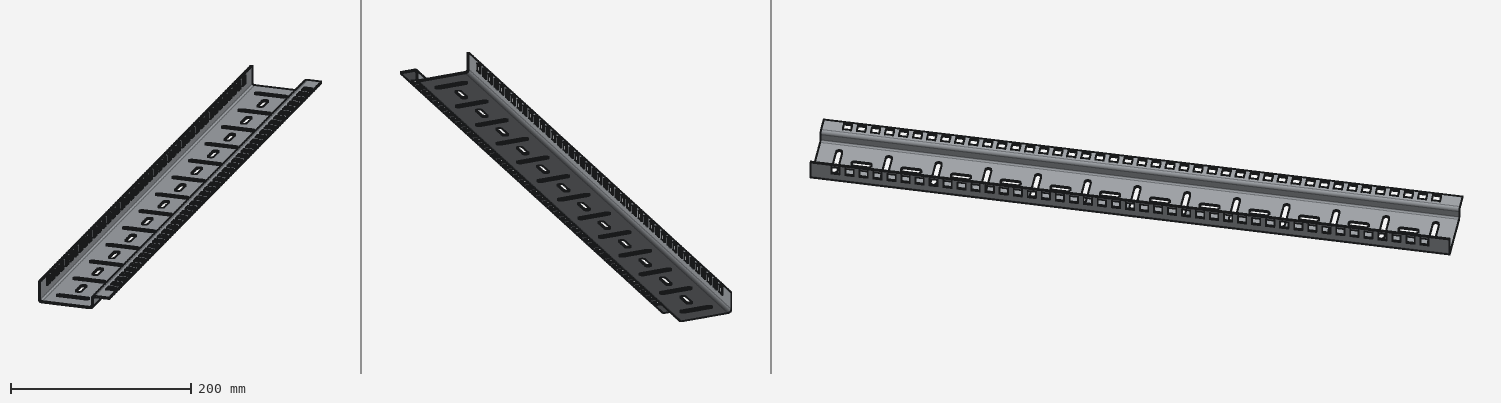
import cadquery as cq

length = 720.0
total_width = 83.0
total_height = 24.5
thickness = 2.0

channel_width = 64.0
flange_height = 16.0
inner_bend = thickness
outer_bend = inner_bend + thickness

square_size = 9.0
square_count = 43
square_end_margin = 28.0
square_pitch = (length - 2 * square_end_margin) / (square_count - 1)
wall_hole_drop = 8.0
flange_hole_inset = 7.0

slot_width = 7.0
cross_slot_length = 38.0
cross_slot_count = 13
cross_slot_end_margin = 24.0
slot_pitch = (length - 2 * cross_slot_end_margin) / (cross_slot_count - 1)
long_slot_length = 23.0
slot_center_x = channel_width / 2

square_positions = [(i - (square_count - 1) / 2) * square_pitch for i in range(square_count)]


def make_profile():
    """Bent sheet section, extruded along Y and centred on Y = 0."""
    step_inner_x = channel_width - thickness
    section = (
        cq.Workplane("XZ", origin=(0, length / 2, 0))
        .moveTo(0, total_height)
        .lineTo(0, outer_bend)
        .radiusArc((outer_bend, 0), -outer_bend)
        .lineTo(channel_width - outer_bend, 0)
        .radiusArc((channel_width, outer_bend), -outer_bend)
        .lineTo(channel_width, flange_height - outer_bend)
        .radiusArc((channel_width + inner_bend, flange_height - thickness), inner_bend)
        .lineTo(total_width, flange_height - thickness)
        .lineTo(total_width, flange_height)
        .lineTo(step_inner_x + outer_bend, flange_height)
        .radiusArc((step_inner_x, flange_height - outer_bend), -outer_bend)
        .lineTo(step_inner_x, outer_bend)
        .radiusArc((step_inner_x - inner_bend, thickness), inner_bend)
        .lineTo(outer_bend, thickness)
        .radiusArc((thickness, outer_bend), inner_bend)
        .lineTo(thickness, total_height)
        .close()
    )
    return section.extrude(length)


def wall_holes():
    """Square holes through the tall side wall."""
    hole_z = total_height - wall_hole_drop
    return (
        cq.Workplane("YZ")
        .pushPoints([(y, hole_z) for y in square_positions])
        .rect(square_size, square_size)
        .extrude(thickness)
    )


def flange_holes():
    """Square holes through the stepped flange."""
    hole_x = total_width - flange_hole_inset
    return (
        cq.Workplane("XY", origin=(0, 0, flange_height - thickness))
        .pushPoints([(hole_x, y) for y in square_positions])
        .rect(square_size, square_size)
        .extrude(thickness)
    )


def floor_slots(count, slot_length, angle):
    """Row of evenly pitched round-ended slots through the channel floor."""
    positions = [(slot_center_x, (i - (count - 1) / 2) * slot_pitch) for i in range(count)]
    return (
        cq.Workplane("XY")
        .pushPoints(positions)
        .slot2D(slot_length, slot_width, angle)
        .extrude(thickness)
    )


cross_slots = floor_slots(cross_slot_count, cross_slot_length, 0)
long_slots = floor_slots(cross_slot_count - 1, long_slot_length, 90)

result = (
    make_profile()
    .cut(wall_holes())
    .cut(flange_holes())
    .cut(cross_slots)
    .cut(long_slots)
)